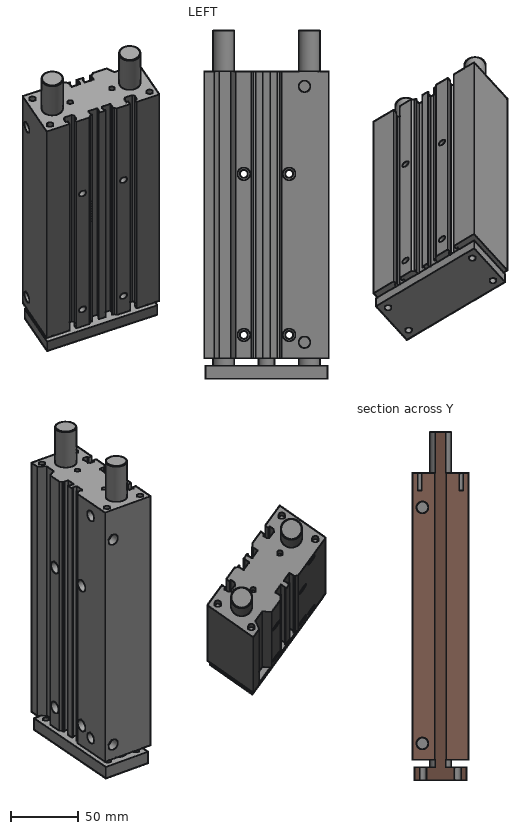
import cadquery as cq

TOTAL_HEIGHT = 260.0
PLATE_WIDTH = 39.0
PLATE_LENGTH = 91.0
PLATE_THICKNESS = 10.0
PLATE_HOLE_DIAMETER = 5.0
PLATE_HOLE_X = 13.0
PLATE_HOLE_Y = 39.0
GUIDE_ROD_DIAMETER = 16.0
GUIDE_ROD_Y = 32.0
GUIDE_ROD_CHAMFER = 0.5
PISTON_ROD_DIAMETER = 12.0
PISTON_ROD_INSERTION = 52.0

HOUSING_WIDTH = 42.0
HOUSING_LENGTH = 93.0
HOUSING_HEIGHT = 214.0
GAP = 5.5
HOUSING_BOTTOM = PLATE_THICKNESS + GAP
HOUSING_TOP = HOUSING_BOTTOM + HOUSING_HEIGHT
SIDE_X = HOUSING_WIDTH / 2

RECESS_DEPTH = 1.5
RECESS_HALF_MOUTH = 11.5
RECESS_HALF_FLOOR = RECESS_HALF_MOUTH - RECESS_DEPTH

SENSOR_SLOT_Y = 5.5
SENSOR_NECK_WIDTH = 5.5
SENSOR_NECK_DEPTH = 1.0
SENSOR_HEAD_WIDTH = 7.3
SENSOR_DEPTH = 5.0

T_SLOT_Y = 25.0
T_NECK_WIDTH = 5.5
T_NECK_DEPTH = 3.0
T_HEAD_WIDTH = 8.5
T_DEPTH = 8.0
T_HEAD_CHAMFER = 1.3

CHANNEL_Y = 31.0
CHANNEL_HALF_MOUTH = 8.0
CHANNEL_HALF_FLOOR = 4.5
CHANNEL_DEPTH = 6.0

CORNER_HOLE_DIAMETER = 5.0
CORNER_HOLE_X = 15.3
CORNER_HOLE_Y = 41.0
CENTRE_HOLE_DIAMETER = 4.2
CENTRE_HOLE_Y = 17.2
TOP_HOLE_DEPTH = 13.0

MOUNT_HOLE_DIAMETER = 5.7
MOUNT_BORE_DIAMETER = 9.4
MOUNT_BORE_DEPTH = 7.8
MOUNT_Y = 17.0
MOUNT_HEIGHTS = (32.8, 153.0)

PORT_DIAMETER = 8.5
PORT_DEPTH = 7.8
SIDE_PORT_Y = -28.3
SIDE_PORT_HEIGHTS = (27.3, 218.1)
FRONT_PORT_X = -13.5
FRONT_PORT_HEIGHTS = (27.5, 203.5)


def column(diameter, y, bottom, top):
    """Vertical cylinder on the X = 0 plane."""
    base = cq.Workplane("XY", origin=(0, y, bottom))
    return base.circle(diameter / 2).extrude(top - bottom)


def piston_rod():
    return column(PISTON_ROD_DIAMETER, 0, PLATE_THICKNESS, HOUSING_BOTTOM + PISTON_ROD_INSERTION)


def guide_rod(side):
    return column(GUIDE_ROD_DIAMETER, side * GUIDE_ROD_Y, PLATE_THICKNESS, TOTAL_HEIGHT)


def make_carriage():
    plate = cq.Workplane("XY").box(PLATE_WIDTH, PLATE_LENGTH, PLATE_THICKNESS, centered=(True, True, False))
    plate = (
        plate.faces(">Z").workplane()
        .rect(2 * PLATE_HOLE_X, 2 * PLATE_HOLE_Y, forConstruction=True)
        .vertices().hole(PLATE_HOLE_DIAMETER)
    )
    carriage = plate.union(piston_rod())
    for side in (-1, 1):
        carriage = carriage.union(guide_rod(side).faces(">Z").chamfer(GUIDE_ROD_CHAMFER))
    return carriage


def full_height_cut(outline):
    """Prism of an XY outline over the whole height of the housing."""
    base = cq.Workplane("XY", origin=(0, 0, HOUSING_BOTTOM))
    return base.polyline(outline).close().extrude(HOUSING_HEIGHT)


def trapezoid_cut(side, y, half_mouth, half_floor, depth):
    """Groove with sloped walls, in the +X (side = 1) or -X (side = -1) face."""
    floor_x = SIDE_X - depth
    return full_height_cut([
        (side * SIDE_X, y - half_mouth),
        (side * floor_x, y - half_floor),
        (side * floor_x, y + half_floor),
        (side * SIDE_X, y + half_mouth),
    ])


def slot_cut(side, y, mouth_x, neck_width, neck_depth, head_width, depth):
    """Undercut slot whose mouth lies at the distance mouth_x from the middle plane."""
    neck_x = mouth_x - neck_depth
    floor_x = mouth_x - depth
    neck = neck_width / 2
    head = head_width / 2
    return full_height_cut([
        (side * mouth_x, y - neck),
        (side * neck_x, y - neck),
        (side * neck_x, y - head),
        (side * floor_x, y - head),
        (side * floor_x, y + head),
        (side * neck_x, y + head),
        (side * neck_x, y + neck),
        (side * mouth_x, y + neck),
    ])


def cut_grooves(housing):
    for side in (-1, 1):
        housing = housing.cut(trapezoid_cut(side, 0, RECESS_HALF_MOUTH, RECESS_HALF_FLOOR, RECESS_DEPTH))
        for y in (-SENSOR_SLOT_Y, SENSOR_SLOT_Y):
            housing = housing.cut(slot_cut(
                side, y, SIDE_X - RECESS_DEPTH,
                SENSOR_NECK_WIDTH, SENSOR_NECK_DEPTH, SENSOR_HEAD_WIDTH, SENSOR_DEPTH,
            ))
    for y in (-T_SLOT_Y, T_SLOT_Y):
        t_slot = slot_cut(1, y, SIDE_X, T_NECK_WIDTH, T_NECK_DEPTH, T_HEAD_WIDTH, T_DEPTH)
        housing = housing.cut(t_slot.faces("<X").edges("|Z").chamfer(T_HEAD_CHAMFER))
    return housing.cut(
        trapezoid_cut(-1, CHANNEL_Y, CHANNEL_HALF_MOUTH, CHANNEL_HALF_FLOOR, CHANNEL_DEPTH)
    )


def cut_top_holes(housing):
    top = cq.Workplane("XY", origin=(0, 0, HOUSING_TOP))
    corner_holes = (
        top.rect(2 * CORNER_HOLE_X, 2 * CORNER_HOLE_Y, forConstruction=True)
        .vertices().circle(CORNER_HOLE_DIAMETER / 2).extrude(-TOP_HOLE_DEPTH)
    )
    centre_holes = (
        top.pushPoints([(0, -CENTRE_HOLE_Y), (0, CENTRE_HOLE_Y)])
        .circle(CENTRE_HOLE_DIAMETER / 2).extrude(-TOP_HOLE_DEPTH)
    )
    return housing.cut(corner_holes).cut(centre_holes)


def cut_mounting_holes(housing):
    places = [(y, z) for y in (-MOUNT_Y, MOUNT_Y) for z in MOUNT_HEIGHTS]
    side_face = cq.Workplane("YZ", origin=(-SIDE_X, 0, 0)).pushPoints(places)
    through_holes = side_face.circle(MOUNT_HOLE_DIAMETER / 2).extrude(HOUSING_WIDTH)
    counterbores = side_face.circle(MOUNT_BORE_DIAMETER / 2).extrude(MOUNT_BORE_DEPTH)
    return housing.cut(through_holes).cut(counterbores)


def cut_ports(housing):
    side_ports = (
        cq.Workplane("YZ", origin=(-SIDE_X, 0, 0))
        .pushPoints([(SIDE_PORT_Y, z) for z in SIDE_PORT_HEIGHTS])
        .circle(PORT_DIAMETER / 2).extrude(PORT_DEPTH)
    )
    front_ports = (
        cq.Workplane("XZ", origin=(0, -HOUSING_LENGTH / 2, 0))
        .pushPoints([(FRONT_PORT_X, z) for z in FRONT_PORT_HEIGHTS])
        .circle(PORT_DIAMETER / 2).extrude(-PORT_DEPTH)
    )
    return housing.cut(side_ports).cut(front_ports)


def make_housing():
    housing = cq.Workplane("XY", origin=(0, 0, HOUSING_BOTTOM)).box(
        HOUSING_WIDTH, HOUSING_LENGTH, HOUSING_HEIGHT, centered=(True, True, False)
    )
    housing = cut_grooves(housing)
    housing = cut_top_holes(housing)
    housing = cut_mounting_holes(housing)
    housing = cut_ports(housing)
    housing = housing.cut(piston_rod())
    for side in (-1, 1):
        housing = housing.cut(guide_rod(side))
    return housing


housing = make_housing()
carriage = make_carriage()
result = cq.Compound.makeCompound([housing.val(), carriage.val()])